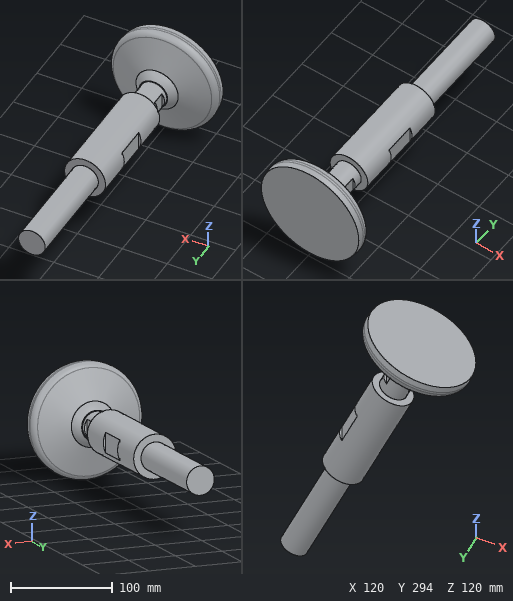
import cadquery as cq
import math


overall_length = 294.0
rod_radius = 15.0
rod_flat_distance = 24.0
rod_flat_start = 41.0
rod_flat_length = 15.0

base_radius = 60.0
underside_radius = 59.0
rim_start = 6.5
rim_end = 9.0
rim_round_radius = 8.0
cone_top_radius = 23.5
cone_top_y = 28.0
rim_round_sweep = math.radians(69)
dome_top_radius = 16.0
dome_top_y = 36.0

sleeve_radius = 23.0
sleeve_start = 66.2
sleeve_length = 115.0
sleeve_flat_distance = 41.0
sleeve_flat_length = 35.3


def cylinder(radius, start, length):
    """Cylinder along +Y that begins at y = start."""
    return cq.Workplane(cq.Solid.makeCylinder(radius, length, cq.Vector(0, start, 0), cq.Vector(0, 1, 0)))


def cut_flats(body, body_radius, distance, start, length):
    """Mill two opposite flats, facing -X and +X, into a cylinder."""
    depth = body_radius - distance / 2
    for side in (-1, 1):
        cutter = cq.Workplane().box(depth, length, 2 * body_radius, centered=(True, False, True))
        body = body.cut(cutter.translate((side * (distance + depth) / 2, start, 0)))
    return body


def make_base():
    round_center_x = base_radius - rim_round_radius

    def round_point(angle):
        return (
            round_center_x + rim_round_radius * math.cos(angle),
            rim_end + rim_round_radius * math.sin(angle),
        )

    dome_center_y = (dome_top_radius**2 + dome_top_y**2 - cone_top_radius**2 - cone_top_y**2) / (
        2 * (dome_top_y - cone_top_y)
    )
    dome_radius = math.hypot(dome_top_radius, dome_top_y - dome_center_y)
    dome_middle_radius = (cone_top_radius + dome_top_radius) / 2
    dome_middle_y = dome_center_y + math.sqrt(dome_radius**2 - dome_middle_radius**2)

    profile = (
        cq.Workplane("XY")
        .lineTo(underside_radius, 0)
        .lineTo(base_radius, rim_start)
        .lineTo(base_radius, rim_end)
        .threePointArc(round_point(rim_round_sweep / 2), round_point(rim_round_sweep))
        .lineTo(cone_top_radius, cone_top_y)
        .threePointArc((dome_middle_radius, dome_middle_y), (dome_top_radius, dome_top_y))
        .lineTo(0, dome_top_y)
        .close()
    )
    return profile.revolve(360, (0, 0, 0), (0, 1, 0))


def make_foot():
    rod = cylinder(rod_radius, dome_top_y, overall_length - dome_top_y)
    rod = cut_flats(rod, rod_radius, rod_flat_distance, rod_flat_start, rod_flat_length)
    return make_base().union(rod)


def make_sleeve():
    sleeve = cylinder(sleeve_radius, sleeve_start, sleeve_length)
    flat_start = sleeve_start + (sleeve_length - sleeve_flat_length) / 2
    sleeve = cut_flats(sleeve, sleeve_radius, sleeve_flat_distance, flat_start, sleeve_flat_length)
    bore = cylinder(rod_radius, sleeve_start, sleeve_length)
    return sleeve.cut(bore)


foot = make_foot()
sleeve = make_sleeve()
result = cq.Compound.makeCompound([foot.val(), sleeve.val()])